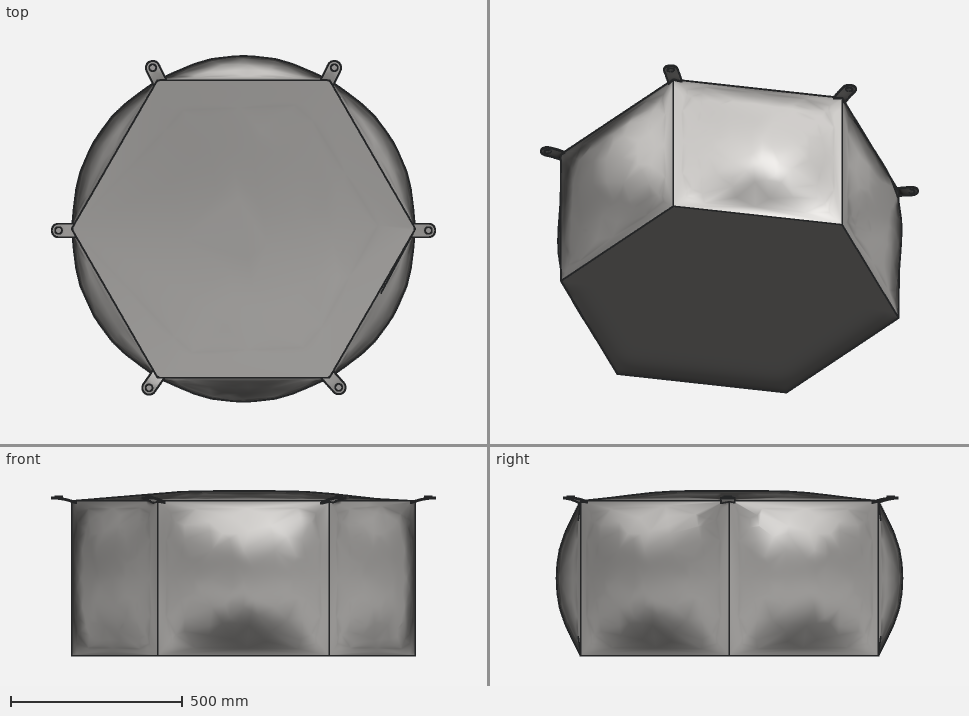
import cadquery as cq
import math

corner_radius = 500.0
bag_height = 480.0
lid_rise = 29.0
side_height = bag_height - lid_rise
bulge_radius = 503.0
side_count = 6
side_step = 360.0 / side_count
apothem = corner_radius * math.cos(math.radians(side_step / 2))
side_bulge = bulge_radius - apothem
bulge_stations = (-0.5, 0, 0.5)
lid_station = 0.5
half_side = corner_radius * math.sin(math.radians(side_step / 2))

stud_circle_radius = 538.0
stud_diameter = 20.0
stud_height = 3.0
tab_end_radius = 20.0
tab_thickness = 3.0
root_reach = 58.0
bend_reach = 21.0
root_drop = 7.0
bend_rise = 6.0
tip_rise = 10.0

fused_tab_angles = (-0.5, 0)
loose_tab_angles = [(60.6, 64), (119.4, 116), (180.5, 180), (239.3, 235), (301, 312)]

up = cq.Vector(0, 0, 1)


def corner(index, z):
    angle = math.radians(index * side_step)
    return cq.Vector(corner_radius * math.cos(angle), corner_radius * math.sin(angle), z)


def side_face(index):
    """Side with straight edges, bulging along a parabola both ways."""
    middle = math.radians((index + 0.5) * side_step)
    outward = cq.Vector(math.cos(middle), math.sin(middle), 0)
    along = cq.Vector(-math.sin(middle), math.cos(middle), 0)

    def point(u, v):
        depth = apothem + side_bulge * (1 - u * u) * (1 - v * v)
        return outward * depth + along * (half_side * u) + up * (side_height * (1 + v) / 2)

    corners = [point(-1, -1), point(1, -1), point(1, 1), point(-1, 1)]
    edges = [cq.Edge.makeLine(corners[i - 1], corners[i]) for i in range(len(corners))]
    inner_points = [point(u, v) for u in bulge_stations for v in bulge_stations]
    return cq.Face.makeNSidedSurface(edges, inner_points)


def hexagon_edges(z):
    corners = [corner(index, z) for index in range(side_count)]
    return [cq.Edge.makeLine(corners[i - 1], corners[i]) for i in range(side_count)]


def lid_face():
    """Shallow dome over the hexagon, rising along a parabola from each corner to the centre."""
    station_z = side_height + lid_rise * (1 - lid_station**2)
    ring = []
    for index in range(side_count):
        base = corner(index, 0) * lid_station
        ring.append(base + up * station_z)
    return cq.Face.makeNSidedSurface(hexagon_edges(side_height), [up * bag_height, *ring])


def build_bag():
    floor = cq.Face.makeFromWires(cq.Wire.assembleEdges(hexagon_edges(0)))
    lid = lid_face()
    sides = [side_face(index) for index in range(side_count)]
    return cq.Solid.makeSolid(cq.Shell.makeShell([floor, lid, *sides]))


def build_tab(stud_angle, direction):
    """One tab, before the bag's corner is cut from it."""
    profile = [
        (-root_reach, -root_drop),
        (-bend_reach, bend_rise),
        (tab_end_radius, tip_rise),
    ]
    underside = [(x, z - tab_thickness) for x, z in reversed(profile)]
    strip = (
        cq.Workplane("XZ", origin=(0, tab_end_radius, 0))
        .moveTo(*profile[0])
        .spline(profile[1:], includeCurrent=True)
        .lineTo(*underside[0])
        .spline(underside[1:], includeCurrent=True)
        .close()
        .extrude(2 * tab_end_radius)
    )
    outline_depth = 2 * (root_drop + tip_rise)
    outline = (
        cq.Workplane("XY", origin=(0, 0, -outline_depth))
        .moveTo(-root_reach, -tab_end_radius)
        .lineTo(0, -tab_end_radius)
        .threePointArc((tab_end_radius, 0), (0, tab_end_radius))
        .lineTo(-root_reach, tab_end_radius)
        .close()
        .extrude(2 * outline_depth)
    )
    stud = (
        cq.Workplane("XY", origin=(0, 0, bend_rise))
        .circle(stud_diameter / 2)
        .extrude(tip_rise + stud_height - bend_rise)
    )
    position = math.radians(stud_angle)
    return (
        strip.intersect(outline)
        .union(stud)
        .rotate((0, 0, 0), (0, 0, 1), direction)
        .translate((
            stud_circle_radius * math.cos(position),
            stud_circle_radius * math.sin(position),
            side_height,
        ))
    )


plain_bag = cq.Workplane(obj=build_bag())
loose_tabs = [build_tab(*angles).cut(plain_bag).val() for angles in loose_tab_angles]

bag = plain_bag.union(build_tab(*fused_tab_angles))

result = cq.Compound.makeCompound([*bag.vals(), *loose_tabs])